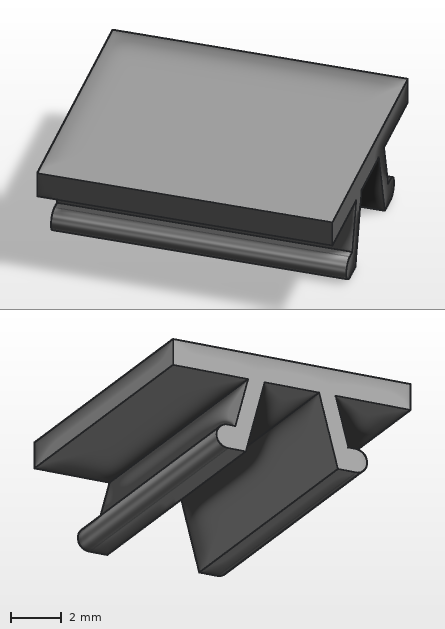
import cadquery as cq
import math

length = 12.15
width = 10.5
height = 4.2

plate_thickness = 1.1

leg_angle = 15.0
leg_inner_root = 1.2
leg_root_width = 0.73
bead_height = 1.0
bead_reach = 3.33

bead_radius = bead_height / 2
bead_center = bead_reach - bead_radius
leg_height = height - plate_thickness
leg_slope = math.tan(math.radians(leg_angle))
leg_outer_root = leg_inner_root + leg_root_width
leg_inner_tip = leg_inner_root + leg_height * leg_slope
leg_outer_tip = leg_outer_root + (leg_height - bead_height) * leg_slope


def make_plate():
    """Flat plate with its underside at the roots of the legs."""
    return (
        cq.Workplane("XY")
        .workplane(offset=leg_height)
        .box(length, width, plate_thickness, centered=(True, True, False))
    )


def make_leg(side):
    """Leg and bead along the full length; side is +1 or -1 along Y."""
    return (
        cq.Workplane("YZ")
        .workplane(offset=-length / 2)
        .moveTo(side * leg_inner_root, leg_height)
        .lineTo(side * leg_inner_tip, 0)
        .lineTo(side * bead_center, 0)
        .threePointArc((side * bead_reach, bead_radius), (side * bead_center, bead_height))
        .lineTo(side * leg_outer_tip, bead_height)
        .lineTo(side * leg_outer_root, leg_height)
        .close()
        .extrude(length)
    )


result = make_plate()
for side in (-1, 1):
    result = result.union(make_leg(side))